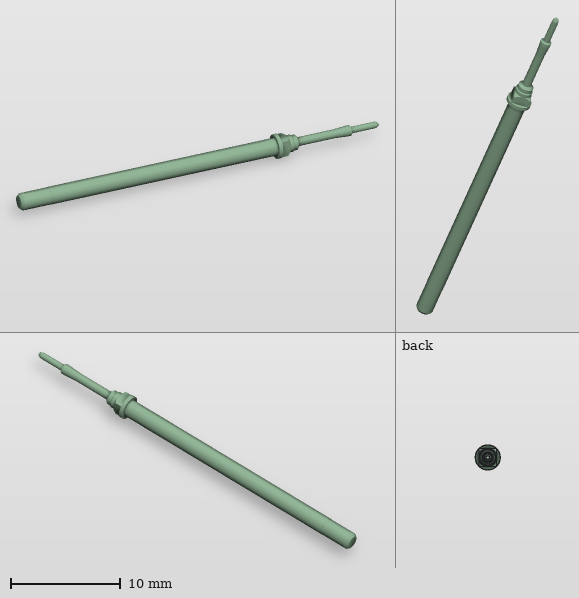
import cadquery as cq

total_length = 35.8

barrel_diameter = 1.65
end_sleeve_diameter = 1.6
end_sleeve_length = 2.97
end_chamfer_length = 0.25
end_chamfer_depth = 0.18

flange_diameter = 2.3
flange_thickness = 0.35
flange_front = total_length - 9.95
square_width = 1.6
square_corner_diameter = 2.25
square_length = 0.65
square_cone_length = 0.3
land_diameter = square_width
land_length = 0.32
land_chamfer_length = 0.07
shoulder_diameter = 1.43
shoulder_length = 0.4
mouth_cone_length = 0.18
mouth_diameter = 1.0

shaft_diameter = 0.82
taper_front = total_length - 3.2
taper_length = 1.18
head_diameter = 1.0
head_front = total_length - 2.72
head_chamfer = 0.1
tip_diameter = 0.6
tip_chamfer_length = 0.3
tip_chamfer_depth = 0.15


def turned(stations):
    """Solid of revolution about Y through (diameter, y) stations."""
    first_y = stations[0][1]
    last_y = stations[-1][1]
    outline = [(0, first_y)]
    outline += [(diameter / 2, y) for diameter, y in stations]
    outline += [(0, last_y)]
    return cq.Workplane("XY").polyline(outline).close().revolve(360, (0, 0), (0, 1))


def make_barrel():
    """Barrel with a slightly slimmer, chamfered end sleeve."""
    return turned([
        (end_sleeve_diameter - 2 * end_chamfer_depth, 0),
        (end_sleeve_diameter, end_chamfer_length),
        (end_sleeve_diameter, end_sleeve_length),
        (barrel_diameter, end_sleeve_length),
        (barrel_diameter, flange_front),
    ])


def make_flange():
    """Thin round stop at the front end of the barrel."""
    rear = flange_front - flange_thickness
    return turned([(flange_diameter, rear), (flange_diameter, flange_front)])


def make_square_collar():
    """Square collar with rounded corners, coned down to a round stepped nose."""
    cone_rear = flange_front + square_length
    land_rear = cone_rear + square_cone_length
    land_front = land_rear + land_length
    shoulder_rear = land_front + land_chamfer_length
    mouth_rear = shoulder_rear + shoulder_length
    mouth_front = mouth_rear + mouth_cone_length
    blank = turned([
        (square_corner_diameter, flange_front),
        (square_corner_diameter, cone_rear),
        (land_diameter, land_rear),
        (land_diameter, land_front),
        (shoulder_diameter, shoulder_rear),
        (shoulder_diameter, mouth_rear),
        (mouth_diameter, mouth_front),
    ])
    length = mouth_front - flange_front
    square = (
        cq.Workplane("XY")
        .box(square_width, length, square_width)
        .translate((0, flange_front + length / 2, 0))
    )
    return blank.intersect(square)


def make_plunger():
    """Slim shaft flaring to a chamfered head that carries the tip pin."""
    return turned([
        (shaft_diameter, flange_front),
        (shaft_diameter, taper_front - taper_length),
        (head_diameter, taper_front),
        (head_diameter, head_front - head_chamfer),
        (head_diameter - 2 * head_chamfer, head_front),
        (tip_diameter, head_front),
        (tip_diameter, total_length - tip_chamfer_length),
        (tip_diameter - 2 * tip_chamfer_depth, total_length),
    ])


result = (
    make_barrel()
    .union(make_flange())
    .union(make_square_collar())
    .union(make_plunger())
)